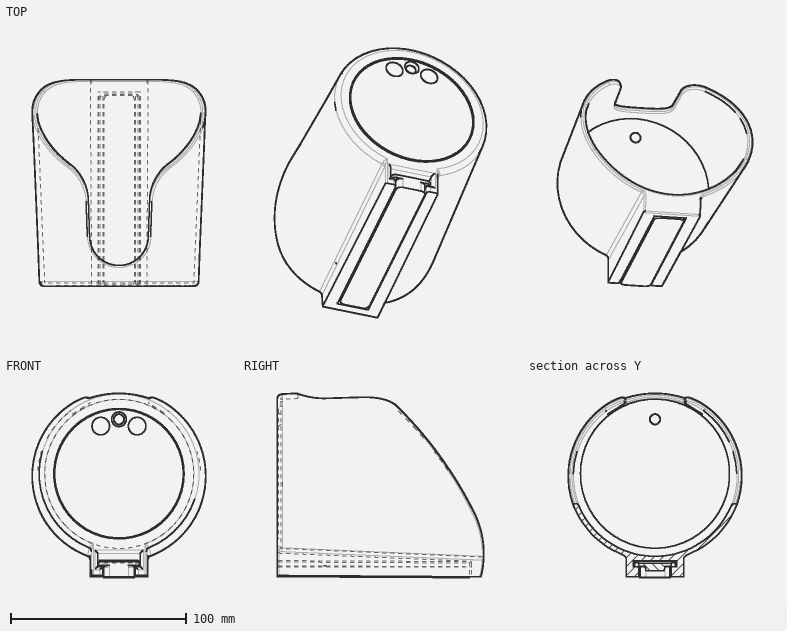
import cadquery as cq
import math


LENGTH = 118.0
BASE_RADIUS = 45.4
RADIUS_GROWTH = 0.042
WALL = 3.0
FLOOR = 2.0
BASE_FILLET = 3.0
RIM_FILLET = 1.0
OVERRUN = 5.9
CLEAR_OF_PART = 70.8

RIM_HIGH = (52.2, 53.1)
RIM_MIDDLE = (92.7, 10.3)
RIM_LOW = (111.6, -20.5)
RIM_TIP = (LENGTH, -44.8)
RIM_BOTTOM = (115.6, -61.4)

SLOT_END_RADIUS = 16.8
SLOT_END_CENTER_Y = 28.7
SLOT_MOUTH_HALF_WIDTH = 19.5
SLOT_MOUTH_Y = 106.2
SLOT_FLOOR_Z = 5.9
SLOT_FLARE = 10.6

RING_RADIUS = 37.2
RING_WIDTH = 0.5
RING_DEPTH = 0.6
DRAIN_OUTER_DIAMETER = 8.4
DRAIN_INNER_DIAMETER = 5.8
DRAIN_Z = 31.0
SPOT_DIAMETER = 10.0
SPOT_DEPTH = 0.1
SPOT_X = 10.4
SPOT_Z = 27.1

RAIL_HALF_WIDTH = 15.7
RAIL_TOP_Z = -29.5
RAIL_BOTTOM_Z = -58.0
RAIL_SPREAD = 0.8
RAIL_EDGE_FILLET = 1.0
RAIL_BLEND = 2.4

CHANNEL_LENGTH = 110.9
CHANNEL_HALF_WIDTH = 12.2
CHANNEL_TOP_Z = -45.2
LIP_TOP_Z = -53.0
LIP_GAP_HALF_WIDTH = 9.2
ENTRY_ROUNDING = 1.8

SLIDER_LENGTH = 109.7
SLIDER_BOTTOM_Z = -58.8
SLIDER_DROP = 0.6
PLATE_HALF_WIDTH = 11.7
PLATE_TOP_Z = -49.4
PLATE_BOTTOM_Z = -52.4
PLATE_CHAMFER = 0.8
PLATE_CORNER = 2.5
STEM_HALF_WIDTH = 8.6
STEM_CORNER = 3.2


def centred_box(half_width, length, z_low, z_high):
    """Block centred on X = 0 that runs from the base plane along Y."""
    block = cq.Workplane("XY").box(2 * half_width, length, z_high - z_low, centered=(True, False, False))
    return block.translate((0, 0, z_low))


def base_plane(x=0, z=0):
    return cq.Workplane("XZ").center(x, z)


def cone(start, end, inset=0):
    """Piece of the cup's cone about Y, its radius reduced by inset."""
    start_radius = BASE_RADIUS + RADIUS_GROWTH * start - inset
    end_radius = BASE_RADIUS + RADIUS_GROWTH * end - inset
    outline = [(0, start), (start_radius, start), (end_radius, end), (0, end)]
    return cq.Workplane("XY").polyline(outline).close().revolve(360, (0, 0), (0, 1))


def box_selector(low, high):
    return cq.selectors.BoxSelector(low, high)


def make_rail(length):
    """Rail that grows steadily wider and deeper away from the base plane."""
    spread = RAIL_SPREAD * length / LENGTH
    height = RAIL_TOP_Z - RAIL_BOTTOM_Z
    return (
        base_plane(0, RAIL_TOP_Z - height / 2)
        .rect(2 * RAIL_HALF_WIDTH, height)
        .workplane(offset=-length)
        .center(0, -spread / 2)
        .rect(2 * (RAIL_HALF_WIDTH + spread), height + spread)
        .loft(ruled=True)
    )


def make_blank():
    """Solid cup and rail, longer than the finished part, with the valleys between them rounded."""
    full_length = LENGTH + OVERRUN
    cup = cone(0, full_length).faces("<Y").edges().fillet(BASE_FILLET)
    rail = make_rail(full_length).faces("<Y").edges("|Z").fillet(RAIL_EDGE_FILLET)
    reach = RAIL_HALF_WIDTH + RAIL_SPREAD + 1.2
    valleys = box_selector((-reach, LENGTH / 3, -BASE_RADIUS - 2.4), (reach, LENGTH * 2 / 3, -BASE_RADIUS + 2.4))
    return cup.union(rail).edges(valleys).fillet(RAIL_BLEND)


def space_beyond_rim():
    far_y = LENGTH + 2 * OVERRUN
    return (
        cq.Workplane("YZ", origin=(-CLEAR_OF_PART, 0, 0))
        .moveTo(*RIM_HIGH)
        .threePointArc(RIM_MIDDLE, RIM_LOW)
        .threePointArc(RIM_TIP, RIM_BOTTOM)
        .lineTo(far_y, RIM_BOTTOM[1])
        .lineTo(far_y, RIM_HIGH[1])
        .close()
        .extrude(2 * CLEAR_OF_PART)
    )


def top_slot():
    diagonal = SLOT_END_RADIUS * math.sqrt(0.5)
    return (
        cq.Workplane("XY", origin=(0, 0, SLOT_FLOOR_Z))
        .moveTo(0, SLOT_END_CENTER_Y - SLOT_END_RADIUS)
        .threePointArc((diagonal, SLOT_END_CENTER_Y - diagonal), (SLOT_END_RADIUS, SLOT_END_CENTER_Y))
        .lineTo(SLOT_MOUTH_HALF_WIDTH, SLOT_MOUTH_Y)
        .lineTo(0, SLOT_MOUTH_Y)
        .mirrorY()
        .extrude(CLEAR_OF_PART)
    )


def cut_opening(blank):
    """Slanted rim and top slot, with the corners where they meet rounded into a flare."""
    opened = blank.cut(space_beyond_rim()).cut(top_slot())
    reach = SLOT_MOUTH_HALF_WIDTH
    corners = box_selector((-reach, 64.9, SLOT_FLOOR_Z + 5.9), (reach, 88.5, 41.3))
    return opened.edges(corners).fillet(SLOT_FLARE)


def round_rim(cup):
    """Fillet along the inner and outer edges of the rim and of the slot."""
    upper = box_selector((-CLEAR_OF_PART, 9.4, SLOT_FLOOR_Z), (CLEAR_OF_PART, LENGTH, CLEAR_OF_PART))
    lower = box_selector((-CLEAR_OF_PART, 100.3, -CLEAR_OF_PART), (CLEAR_OF_PART, LENGTH, SLOT_FLOOR_Z))
    return cup.edges(upper + lower).edges("not %LINE").fillet(RIM_FILLET)


def ring_groove():
    return base_plane().circle(RING_RADIUS).circle(RING_RADIUS - RING_WIDTH).extrude(-RING_DEPTH)


def drain_hole():
    """Funnel through the floor, wider on the outside."""
    narrowing = (DRAIN_OUTER_DIAMETER - DRAIN_INNER_DIAMETER) / 2
    slope = math.degrees(math.atan(narrowing / FLOOR))
    return base_plane(0, DRAIN_Z).circle(DRAIN_OUTER_DIAMETER / 2).extrude(-FLOOR, taper=slope)


def round_spots():
    spots = base_plane().pushPoints([(-SPOT_X, SPOT_Z), (SPOT_X, SPOT_Z)])
    return spots.circle(SPOT_DIAMETER / 2).extrude(-SPOT_DEPTH)


def channel():
    far_top_z = CHANNEL_TOP_Z - RADIUS_GROWTH * CHANNEL_LENGTH
    side = [(0, LIP_TOP_Z), (0, CHANNEL_TOP_Z), (CHANNEL_LENGTH, far_top_z), (CHANNEL_LENGTH, LIP_TOP_Z)]
    cavity = (
        cq.Workplane("YZ", origin=(-CHANNEL_HALF_WIDTH, 0, 0))
        .polyline(side)
        .close()
        .extrude(2 * CHANNEL_HALF_WIDTH)
    )
    lip_gap = centred_box(LIP_GAP_HALF_WIDTH, CHANNEL_LENGTH, RAIL_BOTTOM_Z - 2.4, LIP_TOP_Z)
    return cavity.union(lip_gap)


def cut_channel(body):
    """Channel with its entry edges rounded on the base plane."""
    reach = CHANNEL_HALF_WIDTH + 0.6
    entry = box_selector((-reach, -0.6, RAIL_BOTTOM_Z + 1.2), (reach, 0.6, CHANNEL_TOP_Z + 0.6))
    return body.cut(channel()).edges(entry).fillet(ENTRY_ROUNDING)


def make_housing():
    cup = cut_opening(make_blank()).cut(cone(FLOOR, LENGTH + 2 * OVERRUN, WALL))
    cup = cut_channel(round_rim(cup))
    return cup.cut(ring_groove()).cut(drain_hole()).cut(round_spots())


def make_slider():
    plate = centred_box(PLATE_HALF_WIDTH, SLIDER_LENGTH, PLATE_BOTTOM_Z, PLATE_TOP_Z)
    plate = plate.edges("|Z").fillet(PLATE_CORNER).faces(">Z").edges().chamfer(PLATE_CHAMFER)
    stem = centred_box(STEM_HALF_WIDTH, SLIDER_LENGTH, SLIDER_BOTTOM_Z, PLATE_BOTTOM_Z)
    stem = stem.edges("|Z").fillet(STEM_CORNER)
    tilt = math.degrees(math.atan(SLIDER_DROP / SLIDER_LENGTH))
    return plate.union(stem).rotate((0, 0, SLIDER_BOTTOM_Z), (1, 0, SLIDER_BOTTOM_Z), -tilt)


housing = make_housing()
slider = make_slider()
result = cq.Compound.makeCompound([housing.solids().val(), slider.solids().val()])